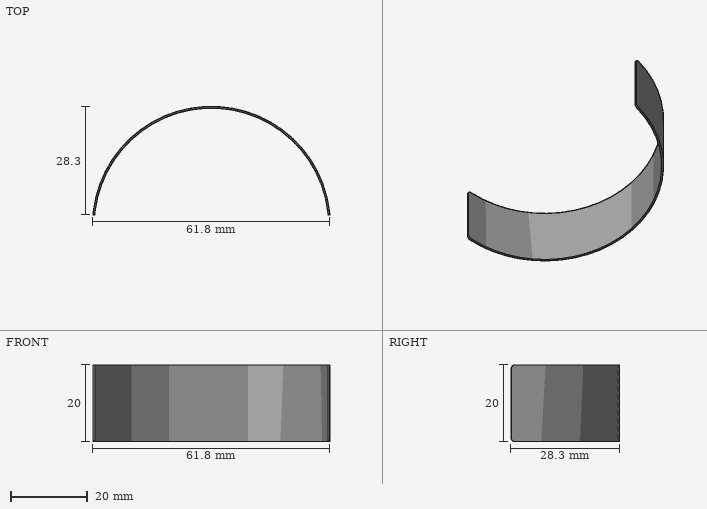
import cadquery as cq
import math

length = 61.75
outer_depth = 28.3
height = 20.0
thickness = 0.5
corner_radius = 1.0

half_length = length / 2
outer_radius = (half_length**2 + outer_depth**2) / (2 * outer_depth)
inner_radius = outer_radius - thickness

right_angle = math.asin((outer_radius - outer_depth) / outer_radius)
crown_angle = math.pi / 2
left_angle = math.pi - right_angle


def arc_point(radius, angle):
    """Point on a circle about the Z axis."""
    return (radius * math.cos(angle), radius * math.sin(angle))


def curved_band():
    """Thin arc-shaped strip with radially cut ends."""
    return (
        cq.Workplane("XY")
        .moveTo(*arc_point(outer_radius, right_angle))
        .threePointArc(arc_point(outer_radius, crown_angle), arc_point(outer_radius, left_angle))
        .lineTo(*arc_point(inner_radius, left_angle))
        .threePointArc(arc_point(inner_radius, crown_angle), arc_point(inner_radius, right_angle))
        .close()
        .extrude(height)
    )


def round_end_corners(band):
    """Round the top and bottom corners of both ends, through the thickness."""
    end_faces = band.faces("#Z").faces("%PLANE")
    return end_faces.edges("not(|Z)").fillet(corner_radius)


result = round_end_corners(curved_band())